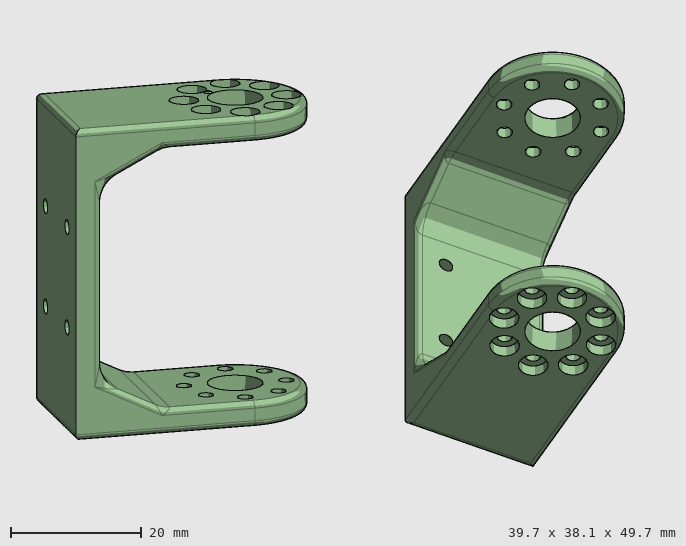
import cadquery as cq
import math

arm_direction = 41.38
end_radius = 11.0
width = 2 * end_radius
back_distance = 28.5
height = 49.5
arm_thickness = 4.0
wall_thickness = 4.0

brace_length = 10.0
brace_height = 5.0
brace_blend = 5.0
edge_round = 1.0

pivot_diameter = 8.5
ring_radius = 8.0
ring_count = 8
ring_start = 130.2
screw_diameter = 2.35
head_diameter = 4.5
head_depth = 2.0

pip_base_diameter = 1.3
pip_top_diameter = 0.65
pip_height = 0.2
pip_radius = 5.0

mount_diameter = 2.3
mount_pitch_y = 12.0
mount_pitch_z = 16.0

half_height = height / 2
inner_half_height = half_height - arm_thickness
wall_inside = wall_thickness - back_distance
brace_end = wall_inside + brace_length
brace_bottom = inner_half_height - brace_height
clear_x = 2 * end_radius
margin = 0.1


def ring_point(radius, index):
    """XY position on a circle about the pivot, in line with a numbered ring hole."""
    angle = math.radians(ring_start + index * 360 / ring_count)
    return (radius * math.cos(angle), radius * math.sin(angle))


def make_outer_block():
    """Full-height block with a half-round front, its top and bottom rims rounded."""
    block = (
        cq.Workplane("XY", origin=(0, 0, -half_height))
        .moveTo(0, -end_radius)
        .threePointArc((end_radius, 0), (0, end_radius))
        .lineTo(-back_distance, end_radius)
        .lineTo(-back_distance, -end_radius)
        .close()
        .extrude(height)
    )
    return block.faces("<Z or >Z").edges().fillet(edge_round)


def make_opening():
    """Space between the arms, narrowing along the braces towards the wall."""
    return (
        cq.Workplane("XZ", origin=(0, end_radius, 0))
        .moveTo(clear_x, inner_half_height)
        .lineTo(brace_end, inner_half_height)
        .lineTo(wall_inside, brace_bottom)
        .lineTo(wall_inside, -brace_bottom)
        .lineTo(brace_end, -inner_half_height)
        .lineTo(clear_x, -inner_half_height)
        .close()
        .extrude(width)
    )


def round_opening(bracket):
    """Round the rim of the opening, then blend its four inside corners."""
    opening_box = cq.selectors.BoxSelector(
        (wall_inside - margin, -clear_x, -inner_half_height - margin),
        (clear_x, clear_x, inner_half_height + margin),
    )
    bracket = bracket.edges(opening_box).edges("not |Y").fillet(edge_round)
    corner_box = cq.selectors.BoxSelector(
        (wall_inside - margin, -margin, -inner_half_height - margin),
        (brace_end + margin, margin, inner_half_height + margin),
    )
    return bracket.edges(corner_box).edges("|Y").fillet(brace_blend)


def cut_pivot_holes(bracket):
    """Pivot and screw holes through both arms, counterbored from both outer faces."""
    ring = [ring_point(ring_radius, index) for index in range(ring_count)]
    base = cq.Workplane("XY", origin=(0, 0, -half_height))
    bracket = bracket.cut(base.circle(pivot_diameter / 2).extrude(height))
    bracket = bracket.cut(base.pushPoints(ring).circle(screw_diameter / 2).extrude(height))
    for floor in (-half_height, half_height - head_depth):
        heads = cq.Workplane("XY", origin=(0, 0, floor)).pushPoints(ring)
        bracket = bracket.cut(heads.circle(head_diameter / 2).extrude(head_depth))
    return bracket


def cut_mount_holes(bracket):
    """Four straight holes through the back wall."""
    holes = (
        cq.Workplane("YZ", origin=(-back_distance, 0, 0))
        .rarray(mount_pitch_y, mount_pitch_z, 2, 2)
        .circle(mount_diameter / 2)
        .extrude(wall_thickness)
    )
    return bracket.cut(holes)


def add_pip(bracket):
    """Small conical index mark on the upper arm."""
    pip_x, pip_y = ring_point(pip_radius, 0)
    pip = cq.Solid.makeCone(
        pip_base_diameter / 2,
        pip_top_diameter / 2,
        pip_height,
        pnt=cq.Vector(pip_x, pip_y, half_height),
    )
    return bracket.union(cq.Workplane(obj=pip))


bracket = make_outer_block().cut(make_opening())
bracket = round_opening(bracket)
bracket = cut_pivot_holes(bracket)
bracket = cut_mount_holes(bracket)
bracket = add_pip(bracket)
result = bracket.rotate((0, 0, 0), (0, 0, 1), arm_direction)